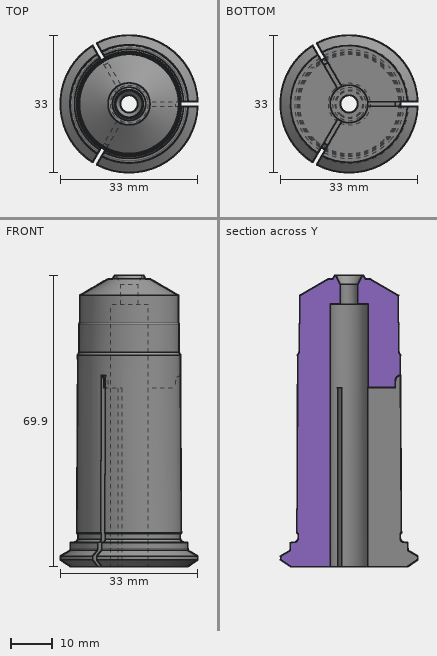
import cadquery as cq


rim_bottom_z = 1.7
rim_top_z = 2.6
flange_cone_top_z = 3.9
flange_step_z = 4.4
collar_edge_z = 5.8
collar_top_z = 5.95
cove_top_z = 6.65
neck_top_z = 7.9
body_bottom_z = 8.1
body_top_z = 50.7
shoulder_top_z = 51.4
cap_step_bottom_z = 58.1
cap_step_top_z = 58.6
dome_bottom_z = 65.0
dome_top_z = 69.0
total_height = 69.9

rim_radius = 33.0 / 2
base_radius = 14.0
flange_radius = 14.2
collar_radius = 14.1
collar_top_radius = 13.55
cove_radius = 13.1
neck_radius = 12.3
body_bottom_radius = 12.6
waist_radius = 12.4
body_top_radius = 12.4
lower_cap_radius = 12.0
upper_cap_radius = 23.8 / 2
dome_top_radius = 5.0
nozzle_base_radius = 8.0 / 2
nozzle_tip_radius = 3.4

bore_radius = 9.0 / 2
bore_top_z = 62.9
mouth_radius = 6.35 / 2
hole_radius = 4.1 / 2
mouth_depth = 2.25

slit_count = 3
slit_width = 1.1
slit_top_z = 45.85
slit_floor_bottom_z = 42.9
slit_floor_radius = 22.2 / 2
slit_inner_radius = bore_radius / 2


def make_outer_body():
    waist_z = (body_bottom_z + body_top_z) / 2
    profile = (
        cq.Workplane("XZ")
        .lineTo(base_radius, 0)
        .lineTo(rim_radius, rim_bottom_z)
        .lineTo(rim_radius, rim_top_z)
        .lineTo(flange_radius, flange_cone_top_z)
        .lineTo(collar_radius, flange_step_z)
        .lineTo(collar_radius, collar_edge_z)
        .lineTo(collar_top_radius, collar_top_z)
        .lineTo(cove_radius, collar_top_z)
        .radiusArc((neck_radius, cove_top_z), cove_radius - neck_radius)
        .lineTo(neck_radius, neck_top_z)
        .lineTo(body_bottom_radius, body_bottom_z)
        .threePointArc((waist_radius, waist_z), (body_top_radius, body_top_z))
        .lineTo(lower_cap_radius, shoulder_top_z)
        .lineTo(lower_cap_radius, cap_step_bottom_z)
        .lineTo(upper_cap_radius, cap_step_top_z)
        .lineTo(upper_cap_radius, dome_bottom_z)
        .lineTo(dome_top_radius, dome_top_z)
        .lineTo(nozzle_base_radius, dome_top_z)
        .lineTo(nozzle_tip_radius, total_height)
        .lineTo(0, total_height)
        .close()
    )
    return profile.revolve(360, (0, 0, 0), (0, 1, 0))


def make_bore():
    mouth_bottom_z = total_height - mouth_depth
    profile = (
        cq.Workplane("XZ")
        .lineTo(bore_radius, 0)
        .lineTo(bore_radius, bore_top_z)
        .lineTo(hole_radius, bore_top_z)
        .lineTo(hole_radius, mouth_bottom_z)
        .lineTo(mouth_radius, total_height)
        .lineTo(0, total_height)
        .close()
    )
    return profile.revolve(360, (0, 0, 0), (0, 1, 0))


def make_slit(angle):
    """Slit open into the bore, ending at the top in a shallow groove that curves out to the body wall."""
    end_round = body_top_radius - slit_floor_radius
    return (
        cq.Workplane("XZ")
        .moveTo(slit_inner_radius, 0)
        .lineTo(rim_radius, 0)
        .lineTo(rim_radius, slit_top_z)
        .lineTo(body_top_radius, slit_top_z)
        .radiusArc((slit_floor_radius, slit_top_z - end_round), -end_round)
        .lineTo(slit_floor_radius, slit_floor_bottom_z)
        .lineTo(slit_inner_radius, slit_floor_bottom_z)
        .close()
        .extrude(slit_width / 2, both=True)
        .rotate((0, 0, 0), (0, 0, 1), angle)
    )


result = make_outer_body().cut(make_bore())
for slit_index in range(slit_count):
    result = result.cut(make_slit(slit_index * 360 / slit_count))